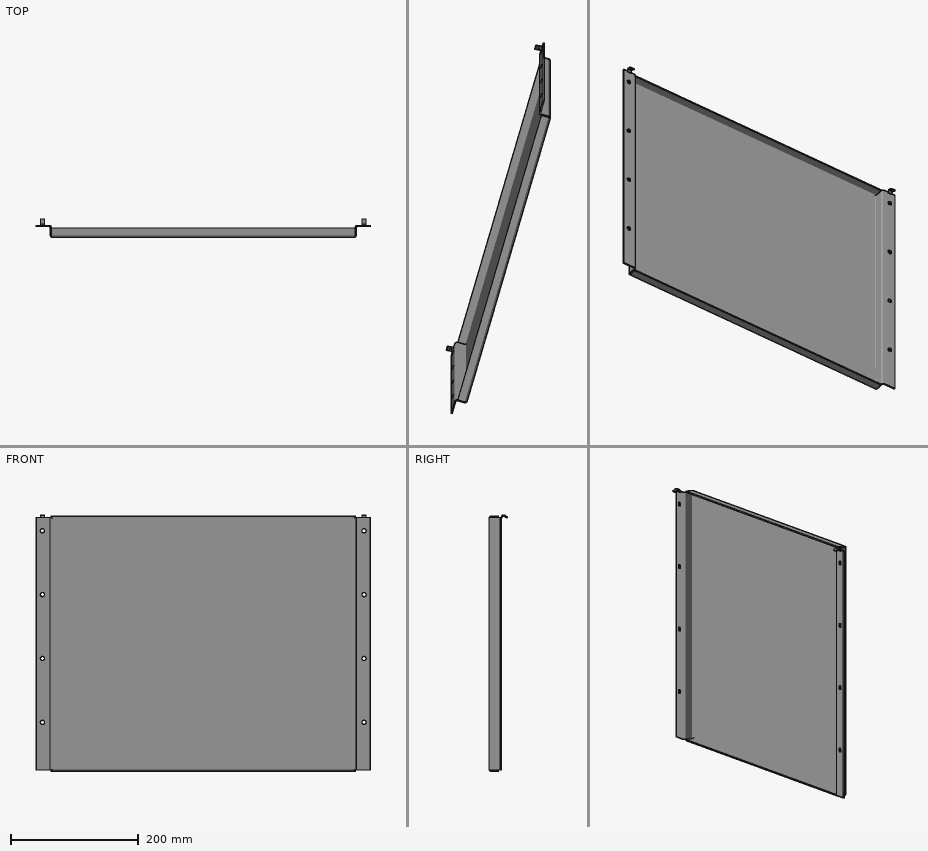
import cadquery as cq
import math

width = 524.0
depth = 29.5
height = 402.0

sheet = 2.0
bend_inner = 2.0
bend_outer = bend_inner + sheet

pan_inset = 22.0
pan_width = width - 2 * pan_inset
pan_height = 400.5
lip_depth = 15.0
lip_end_gap = 1.5
lip_width = pan_width - 2 * lip_end_gap

flange_front = 17.5
flange_back = flange_front + sheet
flange_end_gap = 2.0
flange_height = pan_height - 2 * flange_end_gap

hole_diameter = 6.5
hole_inset = 10.0
hole_pitch = 100.0
hole_count = 4
top_hole_z = 377.5

hook_width = 7.0
hook_sheet = 2.0
hook_root_drop = 2.0
hook_crest_start = 21.0
hook_crest_end = 24.5
hook_crest_fillet = 1.0
hook_tip_drop = 4.5

half_width = width / 2
diagonal = math.sqrt(0.5)


def arc_middle(center, radius, x_sign, y_sign):
    """Midpoint of a quarter arc in the quadrant given by the signs."""
    return (
        center[0] + x_sign * radius * diagonal,
        center[1] + y_sign * radius * diagonal,
    )


def side_section():
    """Half of the horizontal section: front plate, side wall and flange."""
    wall_outer = pan_width / 2
    wall_inner = wall_outer - sheet
    front_bend = (wall_outer - bend_outer, bend_outer)
    flange_bend = (wall_outer + bend_inner, flange_front - bend_inner)
    return (
        cq.Workplane("XY", origin=(0, 0, flange_end_gap))
        .moveTo(0, 0)
        .lineTo(front_bend[0], 0)
        .threePointArc(arc_middle(front_bend, bend_outer, 1, -1), (wall_outer, front_bend[1]))
        .lineTo(wall_outer, flange_bend[1])
        .threePointArc(arc_middle(flange_bend, bend_inner, -1, 1), (flange_bend[0], flange_front))
        .lineTo(half_width, flange_front)
        .lineTo(half_width, flange_back)
        .lineTo(flange_bend[0], flange_back)
        .threePointArc(arc_middle(flange_bend, bend_outer, -1, 1), (wall_inner, flange_bend[1]))
        .lineTo(wall_inner, front_bend[1])
        .threePointArc(arc_middle(front_bend, bend_inner, 1, -1), (front_bend[0], sheet))
        .lineTo(0, sheet)
        .close()
        .extrude(flange_height)
    )


def rounded_block(x_size, y_size, z_size, edge_direction, radius=bend_outer):
    """Block standing on Z = 0 with its front edges in one direction rounded."""
    return (
        cq.Workplane("XY")
        .box(x_size, y_size, z_size, centered=(True, False, False))
        .edges(f"{edge_direction} and <Y")
        .fillet(radius)
    )


def lip_channel():
    """Front plate with its upper and lower lips, open at the back."""
    outside = rounded_block(lip_width, lip_depth, pan_height, "|X")
    inside = rounded_block(lip_width, lip_depth, pan_height - 2 * sheet, "|X", bend_inner)
    return outside.cut(inside.translate((0, sheet, sheet)))


def hook(x):
    """Strip rising from a flange, cresting, then sloping down to the back."""
    root_z = flange_end_gap + flange_height - hook_root_drop
    slope_offset = hook_sheet * diagonal
    tip_z = height - hook_tip_drop
    return (
        cq.Workplane("YZ", origin=(x - hook_width / 2, 0, 0))
        .moveTo(flange_front, root_z)
        .lineTo(hook_crest_start, height)
        .lineTo(hook_crest_end, height)
        .lineTo(depth, tip_z + slope_offset)
        .lineTo(depth - slope_offset, tip_z)
        .lineTo(hook_crest_end - slope_offset / 2, height - hook_sheet)
        .lineTo(hook_crest_start + slope_offset / 2, height - hook_sheet)
        .lineTo(flange_back, root_z)
        .close()
        .extrude(hook_width)
        .edges("|X and >Z")
        .fillet(hook_crest_fillet)
    )


half = side_section()
sides = half.union(half.mirror("YZ")).intersect(rounded_block(width, depth, pan_height, "|X"))
lips = lip_channel().intersect(rounded_block(pan_width, depth, pan_height, "|Z"))
result = sides.union(lips)

hole_x = half_width - hole_inset
for x in (-hole_x, hole_x):
    result = result.union(hook(x))

hole_centers = [
    (x, top_hole_z - row * hole_pitch) for x in (-hole_x, hole_x) for row in range(hole_count)
]
holes = (
    cq.Workplane("XZ")
    .pushPoints(hole_centers)
    .circle(hole_diameter / 2)
    .extrude(-depth)
)
result = result.cut(holes)